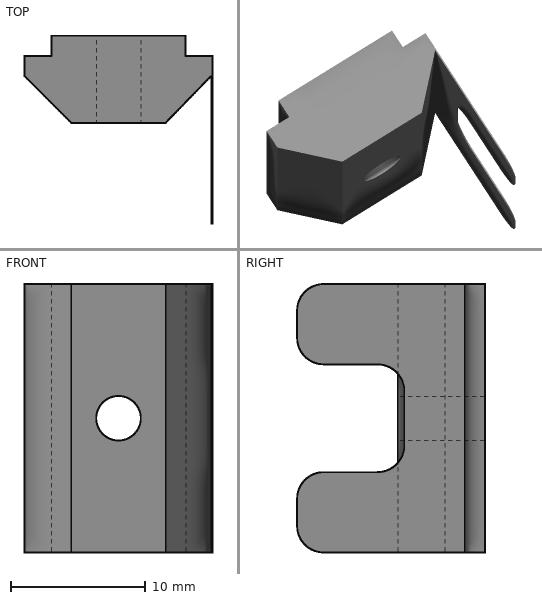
import cadquery as cq

width = 14.0
height = 20.0
tongue_width = 10.0
tongue_depth = 1.5
lip_depth = 1.5
bevel = 3.5
hole_diameter = 3.3

leaf_thickness = 0.1
leaf_reach = 14.0
slot_height = 8.0
slot_start = 6.0
corner_radius = 2.0

lip_front = tongue_depth + lip_depth
block_depth = lip_front + bevel


def make_block():
    """Bevelled T-slot block with a through hole along Y."""
    half_width = width / 2
    half_tongue = tongue_width / 2
    half_front = half_width - bevel
    block = (
        cq.Workplane("XY")
        .polyline([
            (-half_tongue, 0),
            (half_tongue, 0),
            (half_tongue, -tongue_depth),
            (half_width, -tongue_depth),
            (half_width, -lip_front),
            (half_width - leaf_thickness, -lip_front),
            (half_front, -block_depth),
            (-half_front, -block_depth),
            (-half_width, -lip_front),
            (-half_width, -tongue_depth),
            (-half_tongue, -tongue_depth),
        ])
        .close()
        .extrude(height / 2, both=True)
    )
    hole = cq.Workplane("XZ").circle(hole_diameter / 2).extrude(block_depth)
    return block.cut(hole)


def make_leaf():
    """Flat leaf with two rounded prongs, rooted in the lip of the block."""
    leaf_length = leaf_reach - tongue_depth
    slot_length = leaf_reach - slot_start
    leaf_x = (width - leaf_thickness) / 2
    plate = cq.Workplane("XY").box(leaf_thickness, leaf_length, height)
    plate = plate.translate((leaf_x, -tongue_depth - leaf_length / 2, 0))
    slot = cq.Workplane("XY").box(leaf_thickness, slot_length, slot_height)
    slot = slot.translate((leaf_x, -slot_start - slot_length / 2, 0))
    leaf = plate.cut(slot)
    return leaf.edges("|X").edges("not >Y").fillet(corner_radius)


result = make_block().union(make_leaf())